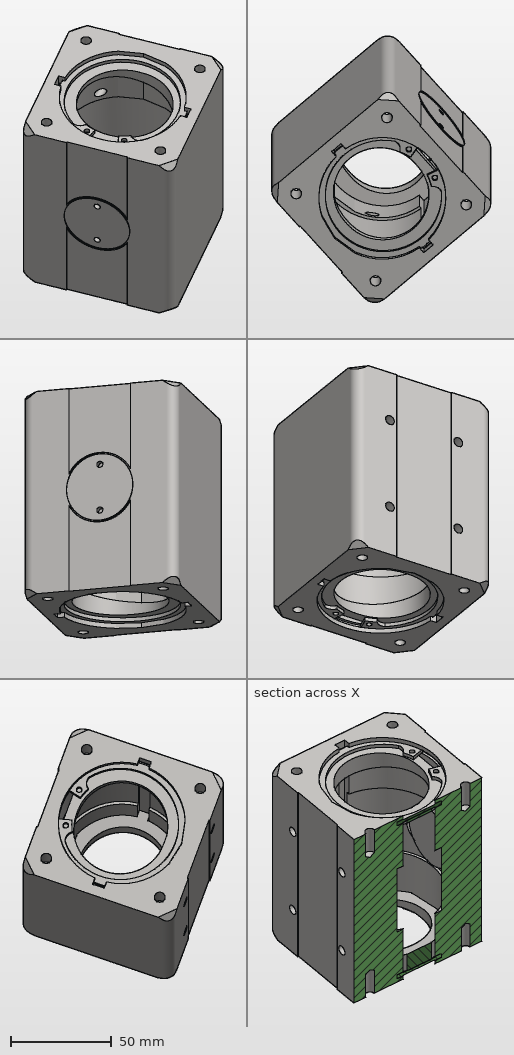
import cadquery as cq
import math

HEIGHT = 105.0
WIDTH = 80.0
HALF_WIDTH = WIDTH / 2
MID_HEIGHT = HEIGHT / 2
EDGE_RADIUS = 5.0
CORNER_CUT_LEG = 7.4

SIDE_GROOVE_WIDTH = 31.9
SIDE_GROOVE_DEPTH = 0.5
BOSS_RADIUS = 18.0

BORE_Y = -0.7
BORE_RADIUS = 31.5
BORE_FLAT_ANGLE = 23.0
RELIEF_RADIUS = 33.0
RELIEF_HEIGHT = 40.1

KEYWAY_WIDTH = 6.1
KEYWAY_REACH = 34.8

END_HOLE_SPACING = 59.8
END_HOLE_RADIUS = 2.6
END_HOLE_DEPTH = 14.7
DRILL_TIP_ANGLE = 118.0

MOUNT_HOLE_RADIUS = 2.5
MOUNT_HOLE_SPACING_X = 40.1
MOUNT_HOLE_SPACING_Z = 50.0

PLUG_RADIUS = 17.2
PLUG_FACE_Y = -39.6
PLUG_END_Y = -30.6
SPANNER_HOLE_RADIUS = 1.6
SPANNER_HOLE_DEPTH = 3.2
SPANNER_HOLE_OFFSET = 11.9

CLIP_DEPTH = 2.5
CLIP_THICKNESS = 2.0
CLIP_OUTER_RADIUS = RELIEF_RADIUS
CLIP_INNER_RADIUS = 28.9
CLIP_INNER_DROP = 0.7
LUG_INNER_RADIUS = 24.9
LUG_START_ANGLE = 14.4
LUG_END_ANGLE = 28.5
LUG_BLEND_ANGLE = 37.5
LUG_BLEND_MIDDLE_ANGLE = 33.2
LUG_BLEND_MIDDLE_RADIUS = 28.7
LUG_HOLE_RADIUS = 1.4
LUG_HOLE_ANGLE = 20.6
LUG_HOLE_REACH = 27.8

WEDGE_Y = BORE_Y - 0.2
WEDGE_RADIUS = 31.0
WEDGE_TILT = 8.5
WEDGE_MIDDLE_THICKNESS = 6.1
WEDGE_FLAT_Y = -29.0
WEDGE_HOLE_RADIUS = 23.0
WEDGE_HOLE_STRETCH = 2.2
EAR_WIDTH = 5.7
EAR_REACH = 34.3

WEDGE_TOP_Z = HEIGHT - CLIP_DEPTH - CLIP_THICKNESS


def cylinder_z(radius, bottom, top, y=0.0):
    return cq.Workplane("XY", origin=(0, y, bottom)).circle(radius).extrude(top - bottom)


def cylinder_y(radius, start, end, x=0.0, z=MID_HEIGHT):
    """Cylinder along Y between the two Y positions, start being the lower one."""
    return cq.Workplane("XZ", origin=(x, start, z)).circle(radius).extrude(start - end)


def block(x_size, y_size, bottom, top, x=0.0, y=0.0):
    return cq.Workplane("XY", origin=(x, y, bottom)).rect(x_size, y_size).extrude(top - bottom)


def at_bottom(body):
    """The copy of a top body at the bottom end, turned half round about a Y axis at mid-height."""
    return body.rotate((0, 0, MID_HEIGHT), (0, 1, MID_HEIGHT), 180)


def polar_point(radius, angle):
    """Point at a radius from the bore axis, the angle counted from -Y towards +X."""
    turn = math.radians(angle)
    return (radius * math.sin(turn), BORE_Y - radius * math.cos(turn))


def outer_block():
    block_body = block(WIDTH, WIDTH, 0, HEIGHT).edges("|Z").fillet(EDGE_RADIUS)
    for side in (-1, 1):
        groove_y = side * (HALF_WIDTH - SIDE_GROOVE_DEPTH / 2)
        block_body = block_body.cut(block(SIDE_GROOVE_WIDTH, SIDE_GROOVE_DEPTH, 0, HEIGHT, y=groove_y))
    boss = cylinder_y(BOSS_RADIUS, -HALF_WIDTH, SIDE_GROOVE_DEPTH - HALF_WIDTH)
    block_body = block_body.union(boss)
    end_reach = (WIDTH - CORNER_CUT_LEG) / math.sqrt(2)
    middle_reach = end_reach + MID_HEIGHT
    diamond = (
        cq.Workplane("XZ")
        .polyline([
            (-end_reach, 0), (end_reach, 0), (middle_reach, MID_HEIGHT),
            (end_reach, HEIGHT), (-end_reach, HEIGHT), (-middle_reach, MID_HEIGHT),
        ])
        .close()
        .extrude(WIDTH, both=True)
    )
    for turn in (45, 135):
        block_body = block_body.intersect(diamond.rotate((0, 0, 0), (0, 0, 1), turn))
    return block_body


def bore_space():
    """Space through the housing: bore with its two flats, two keyways and the relief at mid-height."""
    first_flat_end = polar_point(BORE_RADIUS, 180 - BORE_FLAT_ANGLE)
    second_flat_end = polar_point(BORE_RADIUS, 180 + BORE_FLAT_ANGLE)
    bore = (
        cq.Workplane("XY")
        .moveTo(*first_flat_end)
        .lineTo(*polar_point(BORE_RADIUS, 180))
        .lineTo(*second_flat_end)
        .threePointArc(polar_point(BORE_RADIUS, 0), first_flat_end)
        .close()
        .extrude(HEIGHT)
    )
    keyways = block(2 * KEYWAY_REACH, KEYWAY_WIDTH, 0, HEIGHT, y=BORE_Y)
    relief_bottom = MID_HEIGHT - RELIEF_HEIGHT / 2
    relief = cylinder_z(RELIEF_RADIUS, relief_bottom, relief_bottom + RELIEF_HEIGHT, BORE_Y)
    return bore.union(keyways).union(relief)


def end_hole(x, y):
    """Drilled hole with a conical tip, entering from the top end."""
    tip = END_HOLE_RADIUS / math.tan(math.radians(DRILL_TIP_ANGLE / 2))
    shoulder_z = HEIGHT - END_HOLE_DEPTH
    half_section = [
        (0, HEIGHT), (END_HOLE_RADIUS, HEIGHT), (END_HOLE_RADIUS, shoulder_z), (0, shoulder_z - tip),
    ]
    hole = cq.Workplane("XZ").polyline(half_section).close().revolve(360, (0, 0), (0, 1))
    return hole.translate((x, y, 0))


def make_housing():
    body = outer_block()
    body = body.cut(bore_space())
    end_cuts = [cylinder_z(CLIP_OUTER_RADIUS, WEDGE_TOP_Z, HEIGHT - CLIP_DEPTH, BORE_Y)]
    for x_side in (-1, 1):
        for y_side in (-1, 1):
            end_cuts.append(end_hole(x_side * END_HOLE_SPACING / 2, y_side * END_HOLE_SPACING / 2))
    for cutter in end_cuts:
        body = body.cut(cutter).cut(at_bottom(cutter))
    for x_side in (-1, 1):
        for z_side in (-1, 1):
            x = x_side * MOUNT_HOLE_SPACING_X / 2
            z = MID_HEIGHT + z_side * MOUNT_HOLE_SPACING_Z / 2
            body = body.cut(cylinder_y(MOUNT_HOLE_RADIUS, 0, HALF_WIDTH, x, z))
    return body.cut(cylinder_y(PLUG_RADIUS, -HALF_WIDTH, 0))


def make_plug():
    plug = cylinder_y(PLUG_RADIUS, PLUG_FACE_Y, PLUG_END_Y)
    for side in (-1, 1):
        z = MID_HEIGHT + side * SPANNER_HOLE_OFFSET
        plug = plug.cut(cylinder_y(SPANNER_HOLE_RADIUS, PLUG_FACE_Y, PLUG_FACE_Y + SPANNER_HOLE_DEPTH, z=z))
    return plug


def make_clip():
    """Open ring for the top end, with two drilled lugs beside its gap."""
    inner_y = BORE_Y - CLIP_INNER_DROP

    def inner_point(angle):
        turn = math.radians(angle)
        return (CLIP_INNER_RADIUS * math.sin(turn), inner_y - CLIP_INNER_RADIUS * math.cos(turn))

    lug_middle_angle = (LUG_START_ANGLE + LUG_END_ANGLE) / 2
    clip = (
        cq.Workplane("XY", origin=(0, 0, WEDGE_TOP_Z))
        .moveTo(*polar_point(CLIP_OUTER_RADIUS, LUG_START_ANGLE))
        .threePointArc(
            polar_point(CLIP_OUTER_RADIUS, 180), polar_point(CLIP_OUTER_RADIUS, -LUG_START_ANGLE)
        )
        .lineTo(*polar_point(LUG_INNER_RADIUS, -LUG_START_ANGLE))
        .threePointArc(
            polar_point(LUG_INNER_RADIUS, -lug_middle_angle), polar_point(LUG_INNER_RADIUS, -LUG_END_ANGLE)
        )
        .threePointArc(
            polar_point(LUG_BLEND_MIDDLE_RADIUS, -LUG_BLEND_MIDDLE_ANGLE), inner_point(-LUG_BLEND_ANGLE)
        )
        .threePointArc(inner_point(180), inner_point(LUG_BLEND_ANGLE))
        .threePointArc(
            polar_point(LUG_BLEND_MIDDLE_RADIUS, LUG_BLEND_MIDDLE_ANGLE),
            polar_point(LUG_INNER_RADIUS, LUG_END_ANGLE),
        )
        .threePointArc(
            polar_point(LUG_INNER_RADIUS, lug_middle_angle), polar_point(LUG_INNER_RADIUS, LUG_START_ANGLE)
        )
        .close()
        .extrude(CLIP_THICKNESS)
    )
    for side in (-1, 1):
        x, y = polar_point(LUG_HOLE_REACH, side * LUG_HOLE_ANGLE)
        hole = cylinder_z(LUG_HOLE_RADIUS, WEDGE_TOP_Z, HEIGHT, y).translate((x, 0, 0))
        clip = clip.cut(hole)
    return clip


def make_wedge_ring():
    """Ring for the top end with a flat top, and an underside that falls towards +X."""
    slope = math.tan(math.radians(WEDGE_TILT))
    low_z = WEDGE_TOP_Z - WEDGE_MIDDLE_THICKNESS - slope * HALF_WIDTH
    high_z = WEDGE_TOP_Z - WEDGE_MIDDLE_THICKNESS + slope * HALF_WIDTH
    disc = cylinder_z(WEDGE_RADIUS, low_z, WEDGE_TOP_Z, WEDGE_Y)
    below_flat = WIDTH / 2
    disc = disc.cut(block(WIDTH, below_flat, low_z, WEDGE_TOP_Z, y=WEDGE_FLAT_Y - below_flat / 2))
    disc = disc.union(block(2 * EAR_REACH, EAR_WIDTH, low_z, WEDGE_TOP_Z, y=WEDGE_Y))
    wedge_profile = [
        (-HALF_WIDTH, WEDGE_TOP_Z), (HALF_WIDTH, WEDGE_TOP_Z), (HALF_WIDTH, low_z), (-HALF_WIDTH, high_z),
    ]
    ring = disc.intersect(cq.Workplane("XZ").polyline(wedge_profile).close().extrude(WIDTH, both=True))
    hole = cylinder_z(WEDGE_HOLE_RADIUS, low_z, WEDGE_TOP_Z, WEDGE_Y)
    stretch = block(
        WEDGE_HOLE_STRETCH, 2 * WEDGE_HOLE_RADIUS, low_z, WEDGE_TOP_Z, x=WEDGE_HOLE_STRETCH / 2, y=WEDGE_Y
    )
    ring = ring.cut(hole).cut(stretch)
    return ring.cut(hole.translate((WEDGE_HOLE_STRETCH, 0, 0)))


housing = make_housing()
plug = make_plug()
top_clip = make_clip()
top_wedge_ring = make_wedge_ring()
result = cq.Compound.makeCompound([
    housing.val(), plug.val(), top_clip.val(), at_bottom(top_clip).val(),
    top_wedge_ring.val(), at_bottom(top_wedge_ring).val(),
])